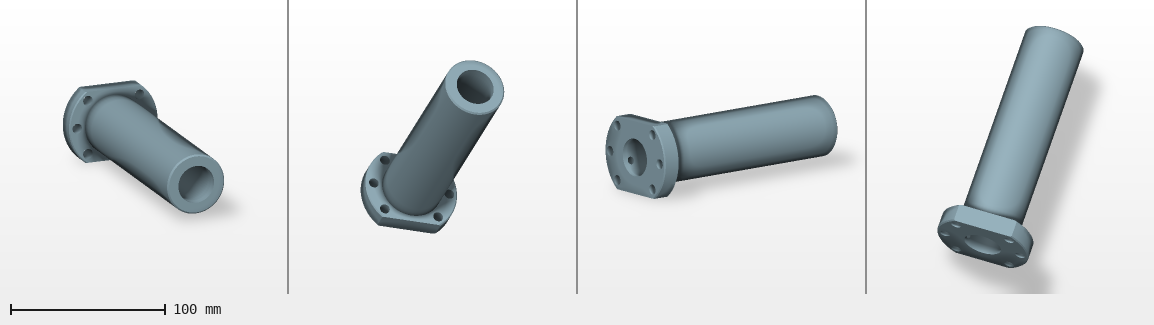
import cadquery as cq

total_length = 153.0
flange_thickness = 12.1
flange_diameter = 62.0
flange_flat_height = 48.0
flange_chamfer = 0.8
body_diameter = 40.0
body_chamfer = 1.0
bore_diameter = 25.0

bolt_circle_diameter = 51.0
bolt_hole_diameter = 6.6
bolt_angles = [-45, 0, 45, 135, 180, 225]

oil_hole_diameter = 5.0
oil_hole_angle = (bolt_angles[0] + bolt_angles[1]) / 2


def make_flange():
    """Round flange with chamfered rims, cut flat at top and bottom."""
    disc = cq.Workplane("YZ").circle(flange_diameter / 2).extrude(flange_thickness)
    disc = disc.edges().chamfer(flange_chamfer)
    flats = cq.Workplane("YZ").rect(flange_diameter, flange_flat_height).extrude(flange_thickness)
    return disc.intersect(flats)


def make_body():
    """Long cylinder with a chamfer at its free end."""
    body = cq.Workplane("YZ").circle(body_diameter / 2).extrude(total_length)
    return body.faces(">X").edges().chamfer(body_chamfer)


def make_bolt_holes():
    """Through holes on the flange bolt circle."""
    hole = (
        cq.Workplane("YZ")
        .center(bolt_circle_diameter / 2, 0)
        .circle(bolt_hole_diameter / 2)
        .extrude(flange_thickness)
    )
    holes = cq.Workplane("YZ")
    for angle in bolt_angles:
        holes = holes.add(hole.rotate((0, 0, 0), (1, 0, 0), angle))
    return holes.combine()


def make_oil_hole():
    """Radial hole from the bore out through the flange rim."""
    hole = (
        cq.Workplane("XZ")
        .center(flange_thickness / 2, 0)
        .circle(oil_hole_diameter / 2)
        .extrude(-flange_diameter / 2)
    )
    return hole.rotate((0, 0, 0), (1, 0, 0), oil_hole_angle)


bore = cq.Workplane("YZ").circle(bore_diameter / 2).extrude(total_length)
result = make_flange().union(make_body()).cut(bore).cut(make_bolt_holes()).cut(make_oil_hole())